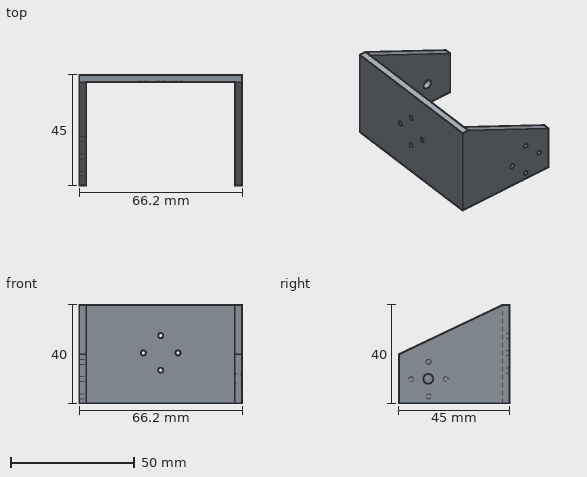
import cadquery as cq

width = 66.2
depth = 45.0
height = 40.0
thickness = 3.0

front_height = height / 2
arm_length = depth - thickness

mount_hole_diameter = 2.0
mount_circle_radius = 7.0
back_pattern_height = 20.5

pivot_setback = 12.0
pivot_height = 10.0
pivot_hole_diameter = 4.0

pivot_y = pivot_setback - arm_length


def make_back_plate():
    """Full-width upright plate with the mounting holes through it."""
    plate = cq.Workplane("XY").box(width, thickness, height, centered=(True, False, False))
    holes = (
        cq.Workplane("XZ")
        .center(0, back_pattern_height)
        .polarArray(mount_circle_radius, 0, 360, 4)
        .circle(mount_hole_diameter / 2)
        .extrude(-thickness)
    )
    return plate.cut(holes)


def make_arm(outer_x):
    """Sloped side arm filling one thickness in +X from outer_x."""
    return (
        cq.Workplane("YZ", origin=(outer_x, 0, 0))
        .moveTo(0, 0)
        .lineTo(-arm_length, 0)
        .lineTo(-arm_length, front_height)
        .lineTo(0, height)
        .close()
        .extrude(thickness)
    )


def arm_hole_plane(outer_x):
    """Plane on an arm's -X face, centred on the pivot axis."""
    return cq.Workplane("YZ", origin=(outer_x, pivot_y, pivot_height))


left_x = -width / 2
right_x = width / 2 - thickness

arm_mount_holes = (
    arm_hole_plane(left_x)
    .polarArray(mount_circle_radius, 0, 360, 4)
    .circle(mount_hole_diameter / 2)
    .extrude(thickness)
)
pivot_hole = arm_hole_plane(right_x).circle(pivot_hole_diameter / 2).extrude(thickness)

left_arm = make_arm(left_x).cut(arm_mount_holes)
right_arm = make_arm(right_x).cut(pivot_hole)

result = make_back_plate().union(left_arm).union(right_arm)